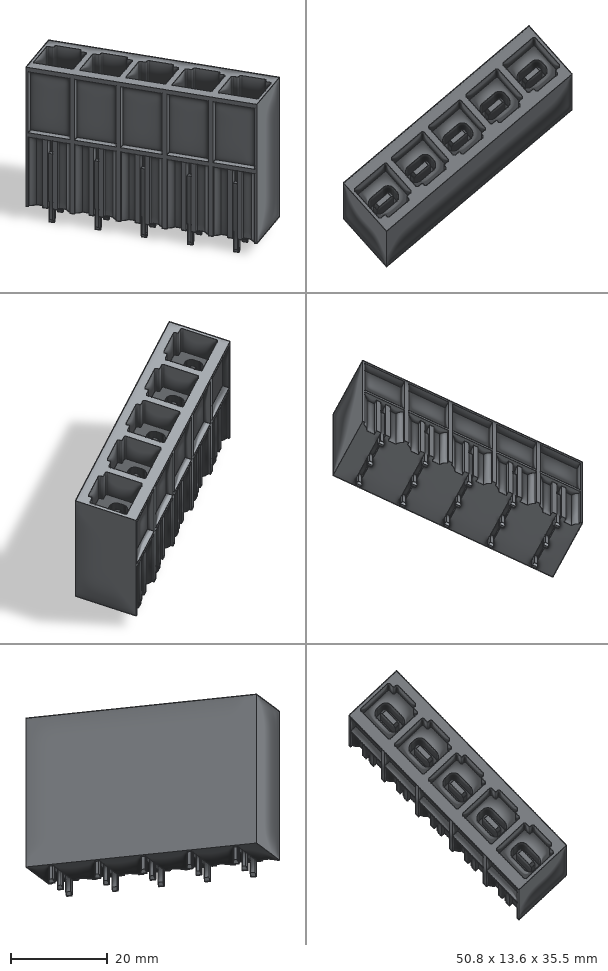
import cadquery as cq
import math

POLES = 5
PITCH = 10.16
BODY_LENGTH = POLES * PITCH
BODY_WIDTH = 13.6
BODY_HEIGHT = 32.0
FRONT_Y = -BODY_WIDTH / 2

SIDE_WALL = 0.5
PANEL_WIDTH = PITCH - 2 * SIDE_WALL
PANEL_DEPTH = 1.5
BAR_HEIGHT = 1.0
GROOVE_HEIGHT = 16.0
WINDOW_BOTTOM = GROOVE_HEIGHT + BAR_HEIGHT
WINDOW_TOP = BODY_HEIGHT - BAR_HEIGHT

RIB_WIDTH = 3.2
RIB_RECESS = 0.6
COLUMN_WIDTH = 1.25
COLUMN_RECESS = 0.5
COLUMN_RADIUS = 2.2

CAVITY_DEPTH = 7.6
CAVITY_WIDTH = 8.8
CAVITY_FRONT_Y = -4.35
CAVITY_BACK_Y = 3.9
CAVITY_RADIUS = 0.4
KEY_RADIUS = 0.4
KEY_WIDTH = 5.85
KEY_BACK_Y = 4.85
KEY_MOUTH_RADIUS = 0.25
CAVITY_FLOOR = BODY_HEIGHT - CAVITY_DEPTH

WELL_LENGTH = 6.4
WELL_WIDTH = 4.0
WELL_RADIUS = 1.5
WELL_FLOOR = GROOVE_HEIGHT

LEG_WIDTH = 1.1
LEG_PITCH = PITCH / 2
LEG_LENGTH = 3.5
LEG_CHAMFER = 0.2
TIP_HEIGHT = 0.75
TIP_WIDTH = 0.4
PLATE_BOTTOM = 1.3
PLATE_TOP = 12.4
PLATE_LENGTH = 2 * LEG_PITCH + LEG_WIDTH
BLADE_WIDTH = 4.5
BLADE_THICKNESS = 1.1
BLADE_TOP = CAVITY_FLOOR
BLADE_TAPER = 0.6
BLADE_TAPER_HEIGHT = 1.2

pole_positions = [(i - (POLES - 1) / 2) * PITCH for i in range(POLES)]


def box(width, y_range, z_range):
    """Box centred on X = 0 that spans the given Y and Z ranges."""
    depth = y_range[1] - y_range[0]
    height = z_range[1] - z_range[0]
    return (
        cq.Workplane("XY")
        .box(width, depth, height, centered=(True, False, False))
        .translate((0, y_range[0], z_range[0]))
    )


def window_cut():
    """Rectangular recess in the upper front face."""
    return box(PANEL_WIDTH, (FRONT_Y, FRONT_Y + PANEL_DEPTH), (WINDOW_BOTTOM, WINDOW_TOP))


def groove_cut():
    """Lower front recess, leaving a flat centre rib and an arc-faced column at each side."""
    half_panel = PANEL_WIDTH / 2
    half_rib = RIB_WIDTH / 2
    floor_y = FRONT_Y + PANEL_DEPTH
    rib_y = FRONT_Y + RIB_RECESS
    column_y = FRONT_Y + COLUMN_RECESS
    column_x = half_panel - COLUMN_WIDTH
    chord_y = floor_y - column_y
    half_chord = math.hypot(COLUMN_WIDTH, chord_y) / 2
    bulge = COLUMN_RADIUS - math.sqrt(COLUMN_RADIUS**2 - half_chord**2)
    arc_x = half_panel - COLUMN_WIDTH / 2 - bulge * chord_y / (2 * half_chord)
    arc_y = (floor_y + column_y) / 2 - bulge * COLUMN_WIDTH / (2 * half_chord)
    return (
        cq.Workplane("XY")
        .moveTo(-half_panel, FRONT_Y)
        .lineTo(-half_panel, column_y)
        .threePointArc((-arc_x, arc_y), (-column_x, floor_y))
        .lineTo(-half_rib, floor_y)
        .lineTo(-half_rib, rib_y)
        .lineTo(half_rib, rib_y)
        .lineTo(half_rib, floor_y)
        .lineTo(column_x, floor_y)
        .threePointArc((arc_x, arc_y), (half_panel, column_y))
        .lineTo(half_panel, FRONT_Y)
        .close()
        .extrude(GROOVE_HEIGHT)
    )


def cavity_cut():
    """Plug cavity with a wide key slot at the back and a contact well in its floor."""
    main = box(CAVITY_WIDTH, (CAVITY_FRONT_Y, CAVITY_BACK_Y), (CAVITY_FLOOR, BODY_HEIGHT))
    key = box(KEY_WIDTH, (CAVITY_FRONT_Y / 2, KEY_BACK_Y), (CAVITY_FLOOR, BODY_HEIGHT))
    outline = main.edges("|Z").fillet(CAVITY_RADIUS)
    outline = outline.union(key.edges("|Z").fillet(KEY_RADIUS))
    key_mouth = cq.selectors.BoxSelector(
        (-KEY_WIDTH / 2 - KEY_MOUTH_RADIUS, CAVITY_BACK_Y - KEY_MOUTH_RADIUS, CAVITY_FLOOR),
        (KEY_WIDTH / 2 + KEY_MOUTH_RADIUS, CAVITY_BACK_Y + KEY_MOUTH_RADIUS, BODY_HEIGHT),
    )
    outline = outline.edges("|Z").edges(key_mouth).fillet(KEY_MOUTH_RADIUS)
    well = box(WELL_LENGTH, (-WELL_WIDTH / 2, WELL_WIDTH / 2), (WELL_FLOOR, CAVITY_FLOOR))
    return outline.union(well.edges("|Z").fillet(WELL_RADIUS))


def contact_slots():
    """Slot for the plate and legs, its open front part up to the groove top, and the blade slot."""
    half_plate = PLATE_LENGTH / 2
    half_blade = BLADE_THICKNESS / 2
    plate_slot = box(LEG_WIDTH, (FRONT_Y, half_plate), (0, PLATE_TOP))
    front_slot = box(LEG_WIDTH, (FRONT_Y, LEG_WIDTH - half_plate), (0, GROOVE_HEIGHT))
    blade_slot = box(BLADE_WIDTH, (-half_blade, half_blade), (PLATE_TOP, WELL_FLOOR))
    return [plate_slot, front_slot, blade_slot]


def make_housing():
    """Housing block with the same cuts repeated at every pole."""
    housing = box(BODY_LENGTH, (FRONT_Y, -FRONT_Y), (0, BODY_HEIGHT))
    cuts = [window_cut(), groove_cut(), cavity_cut(), *contact_slots()]
    for x in pole_positions:
        for cut in cuts:
            housing = housing.cut(cut.translate((x, 0, 0)))
    return housing


def make_leg(y, chamfer_edges):
    """Square leg at the given Y with the chosen edges chamfered and a tip that narrows along Y."""
    half_width = LEG_WIDTH / 2
    half_tip = TIP_WIDTH / 2
    leg = box(LEG_WIDTH, (-half_width, half_width), (-LEG_LENGTH, PLATE_BOTTOM))
    leg = leg.edges(chamfer_edges).chamfer(LEG_CHAMFER)
    tip_top = TIP_HEIGHT - LEG_LENGTH
    profile = (
        cq.Workplane("YZ")
        .moveTo(-half_tip, -LEG_LENGTH)
        .lineTo(half_tip, -LEG_LENGTH)
        .lineTo(half_width, tip_top)
        .lineTo(half_width, PLATE_BOTTOM)
        .lineTo(-half_width, PLATE_BOTTOM)
        .lineTo(-half_width, tip_top)
        .close()
        .extrude(half_width, both=True)
    )
    return leg.intersect(profile).translate((0, y, 0))


def make_blade():
    """Flat blade across X with tapered ends at its top."""
    half_width = BLADE_WIDTH / 2
    half_top = half_width - BLADE_TAPER
    taper_start = BLADE_TOP - BLADE_TAPER_HEIGHT
    return (
        cq.Workplane("XZ")
        .moveTo(-half_width, PLATE_TOP)
        .lineTo(half_width, PLATE_TOP)
        .lineTo(half_width, taper_start)
        .lineTo(half_top, BLADE_TOP)
        .lineTo(-half_top, BLADE_TOP)
        .lineTo(-half_width, taper_start)
        .close()
        .extrude(BLADE_THICKNESS / 2, both=True)
    )


def make_contact():
    """One contact: plate, three legs below it and the blade above it."""
    half_plate = PLATE_LENGTH / 2
    contact = box(LEG_WIDTH, (-half_plate, half_plate), (PLATE_BOTTOM, PLATE_TOP))
    for y, chamfer_edges in ((-LEG_PITCH, "|Z and <Y"), (0, "|Z"), (LEG_PITCH, "|Z")):
        contact = contact.union(make_leg(y, chamfer_edges))
    return contact.union(make_blade())


housing = make_housing()
contacts = [make_contact().translate((x, 0, 0)) for x in pole_positions]

result = cq.Compound.makeCompound([housing.val(), *[contact.val() for contact in contacts]])